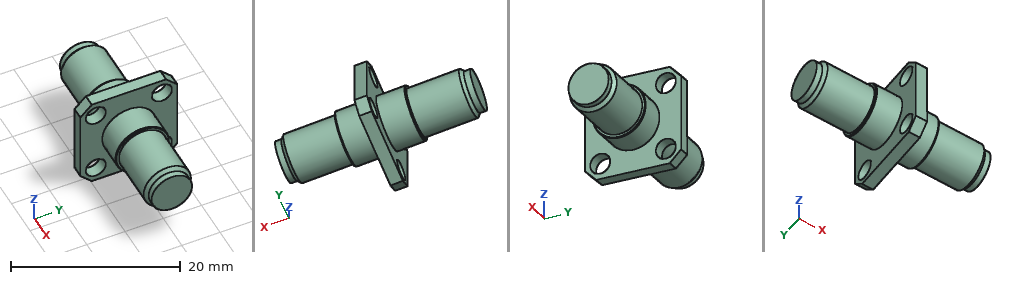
import cadquery as cq

length = 24.8

flange_side = 12.7
flange_thickness = 1.59
corner_chamfer = 1.5
hole_diameter = 2.6
hole_pitch = 8.65

tip_radius = 2.65
tip_length = 0.8
body_radius = 3.1
body_chamfer = body_radius - tip_radius
collar_radius = 3.5
collar_length = 9.03
collar_chamfer_length = 0.15
collar_chamfer_depth = 0.07


def make_barrel():
    """Revolve the stepped half-profile about the X axis."""
    end = length / 2
    shoulder = end - tip_length
    collar_end = collar_length / 2
    right_side = [
        (collar_end - collar_chamfer_length, collar_radius),
        (collar_end, collar_radius - collar_chamfer_depth),
        (collar_end, body_radius),
        (shoulder - body_chamfer, body_radius),
        (shoulder, tip_radius),
        (end, tip_radius),
        (end, 0),
    ]
    left_side = [(-x, radius) for x, radius in reversed(right_side)]
    profile = cq.Workplane("XY").polyline(left_side + right_side).close()
    return profile.revolve(360, (0, 0, 0), (1, 0, 0))


def make_flange():
    """Square plate with chamfered corners and four through holes."""
    plate = cq.Workplane("XY").box(flange_thickness, flange_side, flange_side)
    plate = plate.edges("|X").chamfer(corner_chamfer)
    return (
        plate.faces(">X")
        .workplane()
        .rect(hole_pitch, hole_pitch, forConstruction=True)
        .vertices()
        .hole(hole_diameter)
    )


result = make_barrel().union(make_flange())